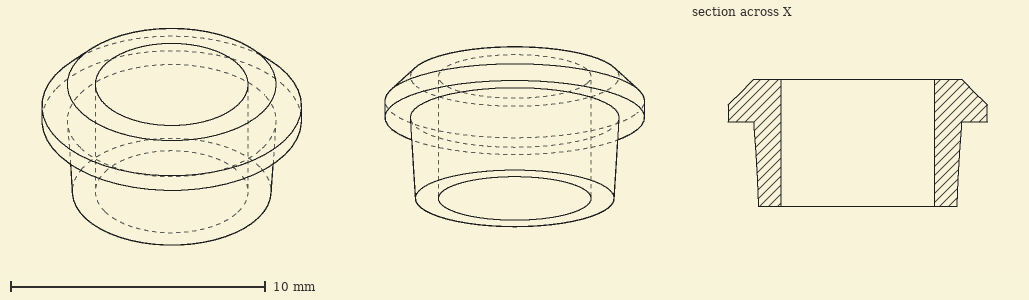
import cadquery as cq

flange_diameter = 10.2
total_height = 5.0
bore_diameter = 6.0

chamfer = 1.0
rim_height = 0.68

neck_tip_diameter = 7.81

flange_radius = flange_diameter / 2
top_face_radius = flange_radius - chamfer
neck_root_radius = top_face_radius
neck_tip_radius = neck_tip_diameter / 2
bore_radius = bore_diameter / 2
neck_height = total_height - chamfer - rim_height
rim_top = neck_height + rim_height

half_section = (
    cq.Workplane("XZ")
    .moveTo(bore_radius, 0)
    .lineTo(neck_tip_radius, 0)
    .lineTo(neck_root_radius, neck_height)
    .lineTo(flange_radius, neck_height)
    .lineTo(flange_radius, rim_top)
    .lineTo(top_face_radius, total_height)
    .lineTo(bore_radius, total_height)
    .close()
)

result = half_section.revolve(360, (0, 0, 0), (0, 1, 0))